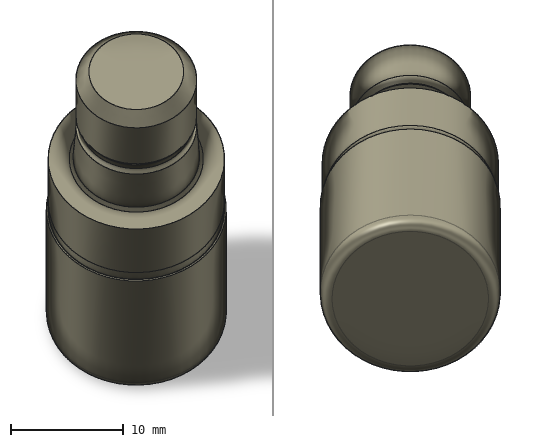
import cadquery as cq

sleeve_diameter = 16.0
sleeve_height = 16.05
bottom_round = 1.05
spigot_height = 0.98

total_height = 36.3
collar_radius = 7.85
collar_wall = 0.05
collar_top = 23.5
neck_root_radius = 5.95
neck_bottom_radius = 5.63
neck_bottom = 23.78
head_radius = 5.37
neck_top = 28.3
groove_radius = 4.97
groove_bottom = 28.6
groove_top = 29.15
head_bottom = 29.85
head_chamfer = 1.15

sleeve_radius = sleeve_diameter / 2
spigot_radius = collar_radius - collar_wall
spigot_top = sleeve_height + spigot_height


def make_sleeve():
    """Round-bottomed cylinder with a low spigot on top."""
    body = cq.Workplane("XY").circle(sleeve_radius).extrude(sleeve_height)
    body = body.faces("<Z").edges().fillet(bottom_round)
    return body.faces(">Z").workplane().circle(spigot_radius).extrude(spigot_height)


def make_shank():
    """Turned shank whose collar has a socket that fits over the spigot."""
    profile = [
        (0, spigot_top),
        (spigot_radius, spigot_top),
        (spigot_radius, sleeve_height),
        (collar_radius, sleeve_height),
        (collar_radius, collar_top),
        (neck_root_radius, collar_top),
        (neck_bottom_radius, neck_bottom),
        (head_radius, neck_top),
        (groove_radius, groove_bottom),
        (groove_radius, groove_top),
        (head_radius, head_bottom),
        (head_radius, total_height - head_chamfer),
        (head_radius - head_chamfer, total_height),
        (0, total_height),
    ]
    return cq.Workplane("XZ").polyline(profile).close().revolve(360, (0, 0), (0, 1))


sleeve = make_sleeve()
shank = make_shank()
result = cq.Compound.makeCompound([sleeve.val(), shank.val()])